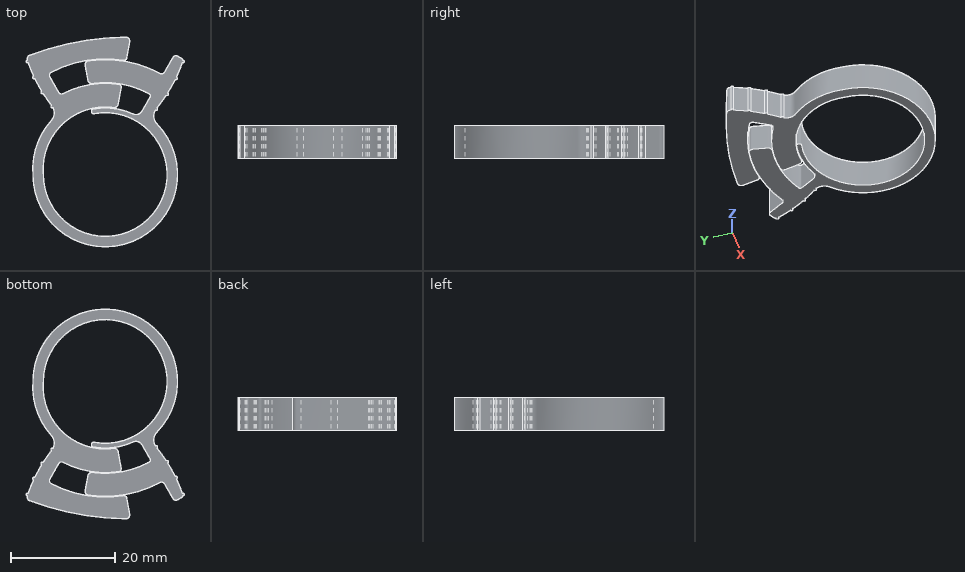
import cadquery as cq
import math


width = 6.4
length = 40.3
ring_inner = 11.85
ring_outer = 13.9
left_shift = 1.05
left_inner = math.hypot(ring_inner, left_shift)
left_outer = math.hypot(ring_outer, left_shift)

gap = 0.1
lip_outer = 12.8
middle_jaw_inner = 17.6
middle_jaw_outer = 22.08
fin_top = 26.65

right_wall = 60
left_wall = 119.5
overlap = 10.5
left_tip = 90 - overlap
right_tip = 90 + overlap
lip_tip = 102.4
left_limit = 150

flank_x = 12.57
flank_y = 31.15
flank_radius = 29.05

back_x = 4.6
back_radius = 54.05
back_y = length - ring_outer - back_radius

ridge_radius = 0.3
ridge_count = 4
first_ridge = 19
left_pitch = 6.5
right_pitch = 6.9

neck_fillet = 2.25
tip_fillet = 0.8
small_fillet = 0.4
pocket_fillet = 0.6
right_pocket_fillet = 1.3
lip_fillet = 0.4

left_shoulder = (-15.1, 22.55)
fin_shoulder = (15.3, 21.95)
left_neck = (-8.85, 11.5)
right_neck = (8.45, 10.88)

far = 48.35


def polar(radius, angle):
    return (radius * math.cos(math.radians(angle)), radius * math.sin(math.radians(angle)))


def disc(x, y, radius):
    return cq.Workplane("XY").center(x, y).circle(radius).extrude(width)


def sector(inner, outer, start, end):
    """Part of a flat ring about the origin, from the start to the end angle."""
    middle = (start + end) / 2
    return (
        cq.Workplane("XY")
        .moveTo(*polar(inner, start))
        .lineTo(*polar(outer, start))
        .threePointArc(polar(outer, middle), polar(outer, end))
        .lineTo(*polar(inner, end))
        .threePointArc(polar(inner, middle), polar(inner, start))
        .close()
        .extrude(width)
    )


def round_edge(body, point, radius):
    """Fillet the upright edge nearest to a point in the XY plane."""
    nearest = cq.selectors.NearestToPointSelector((point[0], point[1], width / 2))
    return body.edges("|Z").edges(nearest).fillet(radius)


def ridges(side, pitch):
    """Grip ridges along one flank; side is -1 for left and 1 for right."""
    bars = cq.Workplane("XY")
    for step in range(ridge_count):
        x, y = polar(flank_radius, -first_ridge - step * pitch)
        bars = bars.union(disc(side * (x - flank_x), flank_y + y, ridge_radius))
    return bars


def left_end():
    """Opened-out left quarter of the ring with the top and bottom jaws."""
    corner = cq.Workplane("XY").rect(-far, far, centered=False).extrude(width)
    cavity = disc(0, left_shift, left_inner)
    quarter = disc(0, left_shift, left_outer).cut(cavity).intersect(corner)

    jaws = sector(ring_inner, far, left_tip, left_limit)
    jaws = jaws.intersect(disc(flank_x, flank_y, flank_radius))
    jaws = jaws.intersect(disc(back_x, back_y, back_radius))
    jaws = jaws.cut(cavity)
    pocket_floor = middle_jaw_inner - gap
    pocket_roof = middle_jaw_outer + gap
    jaws = jaws.cut(sector(pocket_floor, pocket_roof, right_wall, left_wall))

    body = jaws.union(quarter)
    body = round_edge(body, left_shoulder, tip_fillet)
    body = round_edge(body, polar(fin_top, left_tip), tip_fillet)
    body = round_edge(body, polar(pocket_roof, left_tip), pocket_fillet)
    body = round_edge(body, polar(pocket_floor, left_tip), pocket_fillet)
    body = round_edge(body, polar(lip_outer, left_tip), tip_fillet)
    body = round_edge(body, polar(pocket_roof, left_wall), pocket_fillet)
    body = round_edge(body, polar(pocket_floor, left_wall), pocket_fillet)
    body = round_edge(body, left_neck, neck_fillet)
    return body.union(ridges(-1, left_pitch))


def right_end():
    """Middle jaw, upright fin and thin lip."""
    jaw = sector(middle_jaw_inner, middle_jaw_outer, right_wall, right_tip)
    fin = cq.Workplane("XY").rect(fin_top, -fin_top, centered=False).extrude(width)
    fin = fin.rotate((0, 0, 0), (0, 0, 1), right_wall)
    fin = fin.intersect(disc(-flank_x, flank_y, flank_radius))
    fin = fin.cut(disc(0, 0, ring_inner))
    lip = sector(ring_inner, lip_outer, right_wall, lip_tip)
    lower_ring = sector(ring_inner, ring_outer, -180, right_wall)

    body = fin.union(jaw).union(lip).union(lower_ring)
    body = round_edge(body, polar(fin_top, right_wall), pocket_fillet)
    body = round_edge(body, fin_shoulder, pocket_fillet)
    body = round_edge(body, polar(middle_jaw_outer, right_wall), pocket_fillet)
    body = round_edge(body, polar(middle_jaw_inner, right_wall), small_fillet)
    body = round_edge(body, polar(lip_outer, right_wall), right_pocket_fillet)
    body = round_edge(body, polar(middle_jaw_outer, right_tip), tip_fillet)
    body = round_edge(body, polar(middle_jaw_inner, right_tip), tip_fillet)
    body = round_edge(body, polar(lip_outer, lip_tip), lip_fillet)
    body = round_edge(body, polar(ring_inner, lip_tip), lip_fillet)
    body = round_edge(body, right_neck, neck_fillet)
    return body.union(ridges(1, right_pitch))


result = left_end().union(right_end())